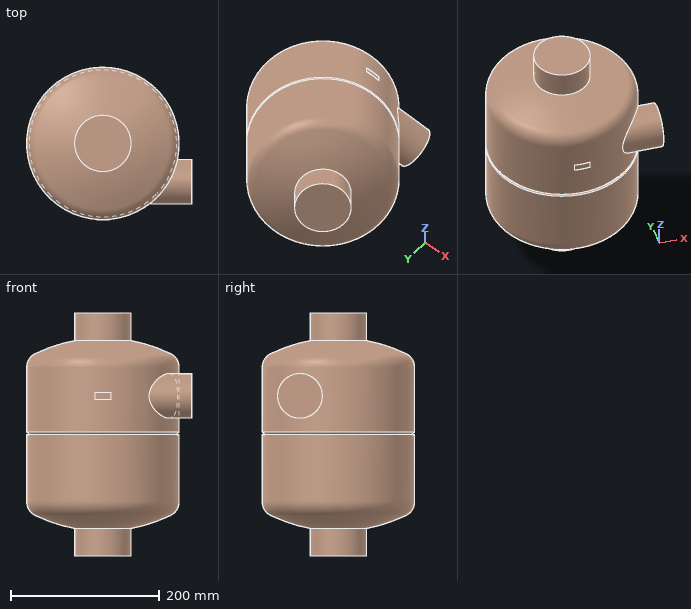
import cadquery as cq
import math

overall_height = 328.0
shell_diameter = 206.0
port_diameter = 76.0
knuckle_start_height = 90.5
knuckle_radius = 21.0
crown_base_radius = 88.5
crown_radius = 207.3
joint_chamfer = 3.5

side_port_diameter = 60.5
side_port_end_x = 120.0
side_port_y = -51.8
side_port_z = 52.0

badge_width = 21.5
badge_height = 9.2
badge_thickness = 0.3
badge_z = side_port_z

shell_radius = shell_diameter / 2
port_radius = port_diameter / 2
half_height = overall_height / 2

knuckle_center_r = shell_radius - knuckle_radius
knuckle_end_angle = math.asin((crown_base_radius - knuckle_center_r) / knuckle_radius)
crown_base_height = knuckle_start_height + knuckle_radius * math.cos(knuckle_end_angle)

crown_base_angle = math.asin(crown_base_radius / crown_radius)
crown_port_angle = math.asin(port_radius / crown_radius)
crown_center_z = crown_base_height - crown_radius * math.cos(crown_base_angle)


def arc_point(center_r, center_z, radius, angle):
    """Point on an arc, with the angle measured from the vessel axis."""
    return (center_r + radius * math.sin(angle), center_z + radius * math.cos(angle))


def half_vessel():
    """Solid half above Z = 0: straight wall, knuckle, dished crown and axial port."""
    knuckle_mid_angle = (knuckle_end_angle + math.pi / 2) / 2
    crown_mid_angle = (crown_base_angle + crown_port_angle) / 2
    profile = (
        cq.Workplane("XZ")
        .moveTo(0, 0)
        .lineTo(shell_radius, 0)
        .lineTo(shell_radius, knuckle_start_height)
        .threePointArc(
            arc_point(knuckle_center_r, knuckle_start_height, knuckle_radius, knuckle_mid_angle),
            arc_point(0, crown_center_z, crown_radius, crown_base_angle),
        )
        .threePointArc(
            arc_point(0, crown_center_z, crown_radius, crown_mid_angle),
            arc_point(0, crown_center_z, crown_radius, crown_port_angle),
        )
        .lineTo(port_radius, half_height)
        .lineTo(0, half_height)
        .close()
    )
    return profile.revolve(360, (0, 0, 0), (0, 1, 0))


def make_upper_housing():
    """Upper half with the bevelled split edge and the offset side port."""
    side_port = (
        cq.Workplane("YZ")
        .center(side_port_y, side_port_z)
        .circle(side_port_diameter / 2)
        .extrude(side_port_end_x)
    )
    bevelled_half = half_vessel().faces("<Z").edges().chamfer(joint_chamfer)
    return bevelled_half.union(side_port)


def make_lower_housing():
    """Lower half with a square split edge."""
    return half_vessel().mirror("XY")


def make_badge():
    """Thin rectangular plate that follows the curve of the shell on its -Y side."""
    ring = (
        cq.Workplane("XY")
        .workplane(offset=badge_z - badge_height / 2)
        .circle(shell_radius + badge_thickness)
        .circle(shell_radius)
        .extrude(badge_height)
    )
    front_window = (
        cq.Workplane("XY")
        .box(badge_width, shell_diameter, badge_height)
        .translate((0, -shell_radius, badge_z))
    )
    return ring.intersect(front_window)


upper_housing = make_upper_housing()
lower_housing = make_lower_housing()
badge = make_badge()

result = cq.Compound.makeCompound([upper_housing.val(), lower_housing.val(), badge.val()])